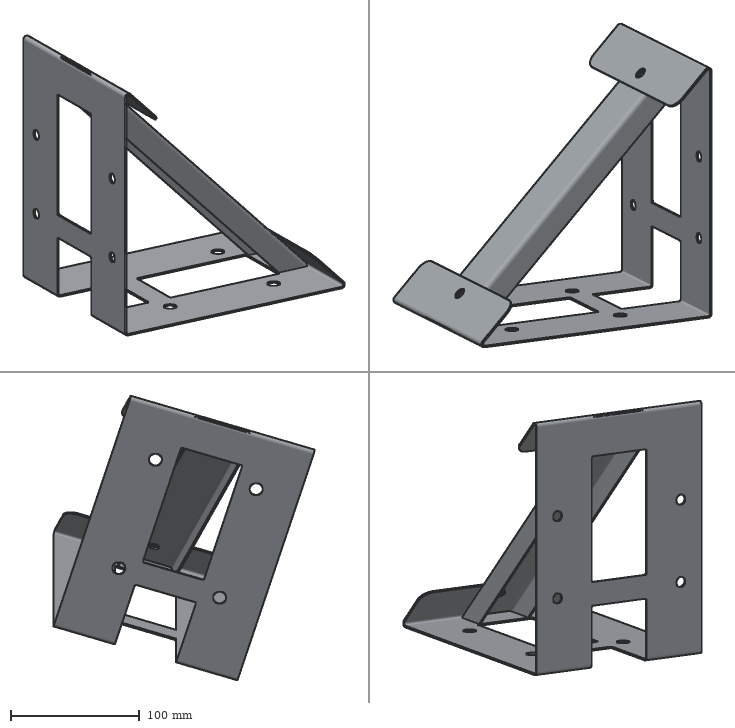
import cadquery as cq
import math

width = 150.0
size = 201.2
sheet = 1.5
bend_radius = 3.0
root_two = math.sqrt(2)

slope_sum = size + root_two * bend_radius
flange_reach = 33.0
flange_corner = 10.0
flange_hole_reach = 23.7
flange_hole_diameter = 9.0

window_width = 50.0
window_length = 100.2
window_corner = 1.5
upright_window_start = 68.8
base_window_start = 72.7
upright_slot_end = 50.0
base_slot_end = 53.1
upright_hole_diameter = 8.0
upright_hole_x = 56.0
upright_hole_heights = (59.5, 125.2)
base_hole_diameter = 10.0
base_hole_x = 41.0
base_hole_depths = (62.4, 157.2)

brace_width = 46.0
brace_depth = 20.3
brace_bend_radius = 3.8
cut_margin = 10.0

slope_plane = cq.Plane(
    origin=(0, slope_sum / 2, slope_sum / 2), xDir=(0, -1, 1), normal=(0, 1, 1)
)


def along_slope(reach):
    """Distance from the middle of the slope to a point at this horizontal reach."""
    return (slope_sum / 2 - reach) * root_two


def triangle(inset, corner_radius):
    """Rounded or sharp triangular prism, inset from the outer faces of the frame."""
    leg_end = slope_sum - root_two * inset - inset
    prism = (
        cq.Workplane("YZ")
        .polyline([(inset, inset), (leg_end, inset), (inset, leg_end)])
        .close()
        .extrude(width / 2, both=True)
    )
    if corner_radius > 0:
        prism = prism.edges("|X").fillet(corner_radius)
    return prism


def slope_opening():
    """Gap between the flanges, with the flange corners left rounded."""
    flange_tip = along_slope(flange_reach)
    flange_root = along_slope(bend_radius * (1 + 1 / root_two))
    strip_depth = 2 * sheet
    opening = cq.Workplane(slope_plane).rect(2 * flange_root, width).extrude(-strip_depth)
    for side in (-1, 1):
        flange = (
            cq.Workplane(slope_plane)
            .center(side * (flange_tip + flange_root) / 2, 0)
            .rect(flange_root - flange_tip, width)
            .extrude(-strip_depth)
            .edges("|(0,1,1)")
            .edges(cq.selectors.DirectionMinMaxSelector(cq.Vector(0, -side, side), False))
            .fillet(flange_corner)
        )
        opening = opening.cut(flange)
    return opening


def slope_holes():
    """Cylinders for the fastening holes shared by the flanges and the brace."""
    through_both_sheets = 3 * sheet
    hole_place = along_slope(flange_hole_reach)
    return (
        cq.Workplane(slope_plane)
        .pushPoints([(-hole_place, 0), (hole_place, 0)])
        .circle(flange_hole_diameter / 2)
        .extrude(-through_both_sheets)
    )


def plate_cutter(plane, start, end, hole_x, hole_places, hole_diameter):
    """Window and mounting holes of one plate, drawn on its outer face."""
    window = (
        cq.Workplane(plane)
        .center(0, (start + end) / 2)
        .rect(window_width, end - start)
        .extrude(sheet, both=True)
        .edges("|Y" if plane == "XZ" else "|Z")
        .fillet(window_corner)
    )
    holes = (
        cq.Workplane(plane)
        .pushPoints([(side * hole_x, place) for side in (-1, 1) for place in hole_places])
        .circle(hole_diameter / 2)
        .extrude(sheet, both=True)
    )
    return window.union(holes)


def corner_slot():
    """Open slot that wraps around the bend between the upright and the base."""
    upright_part = (
        cq.Workplane("XY")
        .box(window_width, bend_radius, upright_slot_end, centered=(True, False, False))
        .edges("|Y and >Z")
        .fillet(window_corner)
    )
    base_part = (
        cq.Workplane("XY")
        .box(window_width, base_slot_end, bend_radius, centered=(True, False, False))
        .edges("|Z and >Y")
        .fillet(window_corner)
    )
    return upright_part.union(base_part)


def make_brace():
    """U channel under the slope, ending at the plates and flush with the outside of the bends."""
    web_face = slope_plane.origin - slope_plane.zDir * sheet
    length = root_two * size + 2 * cut_margin
    section_plane = cq.Plane(
        origin=(web_face - slope_plane.xDir * (length / 2)).toTuple(),
        xDir=(1, 0, 0),
        normal=(0, -1, 1),
    )

    def bar(bar_width, top, radius):
        return (
            cq.Workplane(section_plane)
            .center(0, -(top + brace_depth) / 2)
            .rect(bar_width, brace_depth - top)
            .extrude(length)
            .edges("|(0,-1,1)")
            .edges(cq.selectors.DirectionMinMaxSelector(cq.Vector(0, 1, 1), True))
            .fillet(radius)
        )

    outside = bar(brace_width, 0, brace_bend_radius)
    inside = bar(brace_width - 2 * sheet, sheet, brace_bend_radius - sheet)
    channel = outside.cut(inside)
    ends_trimmed = channel.intersect(triangle(sheet, 0)).intersect(triangle(0, bend_radius))
    return ends_trimmed.cut(slope_holes())


def make_frame(brace):
    """Folded sheet frame, with its sharp bends slotted for the ends of the brace."""
    shell = triangle(0, bend_radius).cut(triangle(sheet, bend_radius - sheet))
    upright_cutter = plate_cutter(
        "XZ", upright_window_start, upright_window_start + window_length,
        upright_hole_x, upright_hole_heights, upright_hole_diameter,
    )
    base_cutter = plate_cutter(
        "XY", base_window_start, base_window_start + window_length,
        base_hole_x, base_hole_depths, base_hole_diameter,
    )
    frame = shell.cut(slope_opening()).cut(slope_holes())
    return frame.cut(upright_cutter).cut(base_cutter).cut(corner_slot()).cut(brace)


brace = make_brace()
frame = make_frame(brace)
result = cq.Compound.makeCompound([frame.val(), brace.val()])